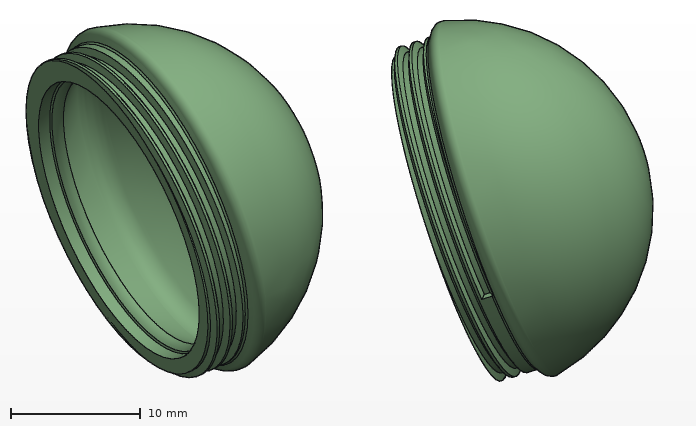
import cadquery as cq
import math


height = 15.9
rim_radius = 14.35
rim_height = 4.05
dome_edge_radius = 14.28
dome_edge_height = 4.45
shoulder_radius = 13.95
shoulder_height = 3.47
collar_radius = 13.45
collar_height = 3.05
neck_radius = 13.57
neck_height = 3.2

wall = 0.6
mouth_radius = 11.62
mouth_depth = 1.0
step_radius = 11.47
step_depth = 1.12
lip_radius = 11.2
lip_depth = 2.0
lip_round_radius = 11.27
lip_round_depth = 1.55
undercut_radius = 12.88
undercut_depth = 4.35
inner_round_radius = 13.25
inner_round_depth = 5.5
inner_dome_depth = 6.65

thread_pitch = 1.18
thread_root_radius = 12.88
groove_root_width = 0.45
groove_crest_width = 0.95
groove_overshoot = 0.15
groove_start = -thread_pitch
groove_turns = 3 + 97 / 360

dome_rise = height - dome_edge_height
dome_radius = (dome_edge_radius**2 + dome_rise**2) / (2 * dome_rise)
dome_center = height - dome_radius
inner_dome_radius = dome_radius - wall


def dome_point(radius, angle):
    """Point on a dome circle, with the angle measured up from the plane of its centre."""
    return (radius * math.cos(angle), dome_center + radius * math.sin(angle))


def make_shell():
    outer_edge_angle = math.asin((dome_edge_height - dome_center) / dome_radius)
    inner_edge_angle = math.asin((inner_dome_depth - dome_center) / inner_dome_radius)
    outer_middle_angle = (outer_edge_angle + math.pi / 2) / 2
    inner_middle_angle = (inner_edge_angle + math.pi / 2) / 2
    profile = (
        cq.Workplane("XY")
        .moveTo(mouth_radius, 0)
        .lineTo(collar_radius, 0)
        .lineTo(collar_radius, collar_height)
        .lineTo(neck_radius, neck_height)
        .lineTo(shoulder_radius, shoulder_height)
        .threePointArc((rim_radius, rim_height), (dome_edge_radius, dome_edge_height))
        .threePointArc(dome_point(dome_radius, outer_middle_angle), (0, height))
        .lineTo(0, height - wall)
        .threePointArc(
            dome_point(inner_dome_radius, inner_middle_angle),
            dome_point(inner_dome_radius, inner_edge_angle),
        )
        .threePointArc((inner_round_radius, inner_round_depth), (undercut_radius, undercut_depth))
        .lineTo(lip_radius, lip_depth)
        .threePointArc((lip_round_radius, lip_round_depth), (step_radius, step_depth))
        .lineTo(mouth_radius, mouth_depth)
        .close()
    )
    return profile.revolve(360, (0, 0, 0), (0, 1, 0))


def make_thread_groove():
    """Right-handed helical cutter, wound about Z from the +X side and then turned onto Y."""
    flank_slope = (groove_crest_width - groove_root_width) / 2 / (collar_radius - thread_root_radius)
    half_root = groove_root_width / 2
    half_outer = groove_crest_width / 2 + flank_slope * groove_overshoot
    outer_radius = collar_radius + groove_overshoot
    path = cq.Wire.makeHelix(
        thread_pitch,
        thread_pitch * groove_turns,
        thread_root_radius,
        cq.Vector(0, 0, groove_start),
    )
    section = (
        cq.Workplane("XZ")
        .moveTo(thread_root_radius, groove_start - half_root)
        .lineTo(outer_radius, groove_start - half_outer)
        .lineTo(outer_radius, groove_start + half_outer)
        .lineTo(thread_root_radius, groove_start + half_root)
        .close()
    )
    groove = section.sweep(cq.Workplane(path), isFrenet=True)
    return groove.rotate((0, 0, 0), (1, 0, 0), -90)


result = make_shell().cut(make_thread_groove())